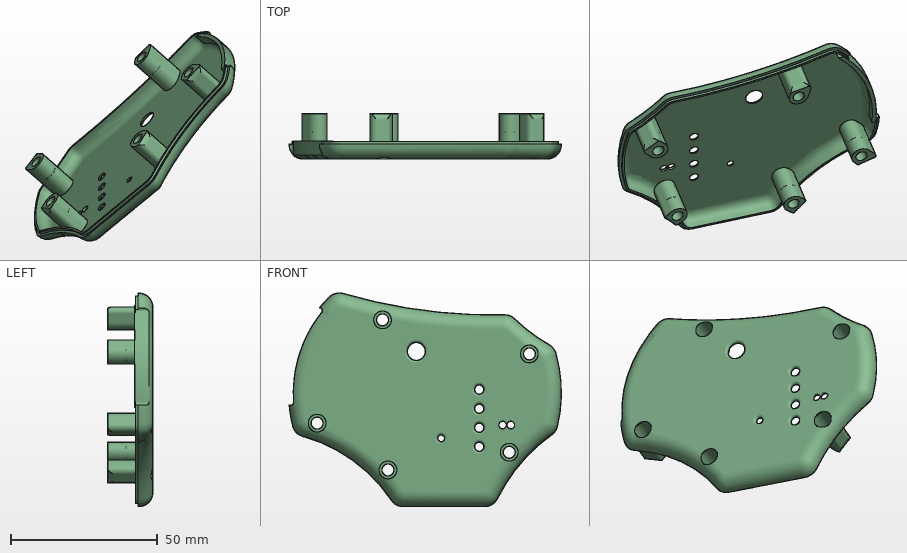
import cadquery as cq
import math

RIM_RADIUS = 5.0
RIM_HEIGHT = 5.1
FLOOR = 1.0
WALL = 1.7
INNER_RADIUS = RIM_RADIUS - WALL
LIP_STEP = 1.0
LIP_TOP = 6.0
FILLET_MARGIN = 0.1

RECESS_DEPTH = 1.6
RECESS_LOW = 34.6
RECESS_HIGH = 67.7
RECESS_CORNER = 0.9
TAB_TOP = 6.2
TAB_THICKNESS = 1.4
TAB_OVERLAP = 0.7
TAB_REACH = 18.55

POST_TOP = 15.5
POST_DIAMETER = 6.9
POST_REACH = 11.1
POST_CORNER = 1.9
POST_ROUND_START = 13.3
SCREW_DIAMETER = 4.0
HEAD_DIAMETER = 6.0
HEAD_DEPTH = 9.3

POSTS = [
    ((9.55, 28.5), 228),
    ((31.8, 63.6), 107),
    ((81.8, 52.0), 49),
    ((74.9, 18.55), 320),
    ((33.7, 12.5), 223),
]

LIGHT_X = 64.7
LIGHT_LOW_Z = 20.4
LIGHT_PITCH = 6.5
LIGHT_COUNT = 4
LIGHT_DIAMETER = 3.1
KNOB_CENTRE = (43.3, 52.9)
KNOB_DIAMETER = 6.0
BUTTON_CENTRE = (51.8, 23.3)
BUTTON_DIAMETER = 2.2
OPENING_ROUND = 0.9

PAIR_CENTRE = (74.1, 27.8)
PAIR_PITCH = 2.8
PAIR_DIAMETER = 2.5
PAIR_ROUND = 0.1


def flat_face_outline(depth):
    """Outline of the flat face, on a plane at the given depth along Y."""
    return (
        cq.Workplane("XZ", origin=(0, depth, 0))
        .moveTo(17.2, 67.8)
        .threePointArc((41.55, 62.4), (73.4, 60.4))
        .threePointArc((79.6, 55.1), (86.1, 50.8))
        .threePointArc((87.7, 38.5), (86.5, 28.6))
        .threePointArc((75.7, 18.7), (66.5, 5.0))
        .lineTo(39.0, 5.0)
        .threePointArc((24.9, 19.7), (6.0, 28.75))
        .threePointArc((6.4, 49.8), (17.2, 67.8))
        .close()
    )


def slab(inset, front, back):
    """Plate between two depths, its outline inset from the outside of the part."""
    outline = flat_face_outline(front).offset2D(RIM_RADIUS - inset, "arc")
    return outline.extrude(front - back)


def cylinder(centre, diameter, front, back):
    """Round bar along Y between two depths."""
    plane = cq.Workplane("XZ", origin=(centre[0], front, centre[1]))
    return plane.circle(diameter / 2).extrude(front - back)


def block(x_range, y_range, z_range):
    """Box given by its limits along each axis."""
    ranges = (x_range, y_range, z_range)
    size = [high - low for low, high in ranges]
    corner = tuple(low for low, _ in ranges)
    return cq.Workplane("XY").box(*size, centered=False).translate(corner)


def make_shell():
    """Hollow tray with a rounded rim and a locating lip."""
    outside = slab(0, 0, RIM_HEIGHT).faces("<Y").edges().fillet(RIM_RADIUS - FILLET_MARGIN)
    lip = slab(LIP_STEP, RIM_HEIGHT / 2, LIP_TOP)
    cavity = slab(WALL, FLOOR, LIP_TOP)
    cavity = cavity.faces("<Y").edges().fillet(INNER_RADIUS - FILLET_MARGIN)
    return outside.union(lip).cut(cavity)


def make_tab():
    """Thin wall behind the recess, standing slightly above the lip."""
    tab = slab(RECESS_DEPTH, RIM_HEIGHT / 2, TAB_TOP)
    tab = tab.cut(slab(RECESS_DEPTH + TAB_THICKNESS, 0, TAB_TOP))
    limits = block(
        (-RIM_RADIUS, TAB_REACH),
        (0, TAB_TOP),
        (RECESS_LOW - TAB_OVERLAP, RECESS_HIGH + TAB_OVERLAP),
    )
    return tab.intersect(limits)


def make_recess():
    """Cutter for the recess, with rounded inner corners at its two ends."""
    limits = block((-RIM_RADIUS, TAB_REACH), (0, TAB_TOP), (RECESS_LOW, RECESS_HIGH))
    recess = limits.cut(slab(RECESS_DEPTH, 0, TAB_TOP))
    for end in ("<Z", ">Z"):
        recess = recess.faces(end).edges(">X").fillet(RECESS_CORNER)
    return recess


def make_post(centre, angle, well, dome):
    """Screw post with a web trimmed to the inside of the wall."""
    post = cylinder(centre, POST_DIAMETER, FLOOR, POST_TOP)
    web = (
        cq.Workplane("XY")
        .box(POST_REACH, POST_TOP - FLOOR, POST_DIAMETER, centered=(False, False, True))
        .rotate((0, 0, 0), (0, 1, 0), -angle)
        .translate((centre[0], FLOOR, centre[1]))
    )
    post = post.union(web).intersect(well)
    section = post.faces(">Y").wires().val().offset2D(-POST_CORNER)[0].offset2D(POST_CORNER)[0]
    rounded = cq.Workplane(cq.Solid.extrudeLinear(section, [], cq.Vector(0, FLOOR - POST_TOP, 0)))
    return rounded.intersect(dome)


def rounded_opening(centre, diameter, rounding):
    """Cutter for a hole through the flat face whose front edge is rounded."""
    radius = diameter / 2
    mid_offset = rounding * (1 - math.cos(math.radians(45)))
    profile = (
        cq.Workplane("XY")
        .lineTo(radius + rounding, 0)
        .threePointArc((radius + mid_offset, mid_offset), (radius, rounding))
        .lineTo(radius, FLOOR)
        .lineTo(0, FLOOR)
        .close()
    )
    return profile.revolve(360, (0, 0), (0, 1)).translate((centre[0], 0, centre[1]))


def add_posts(body):
    well = slab(WALL, FLOOR, POST_TOP)
    dome = slab(WALL, FLOOR, POST_ROUND_START + INNER_RADIUS)
    dome = dome.faces("|Y").edges().fillet(INNER_RADIUS - FILLET_MARGIN)
    for centre, angle in POSTS:
        body = body.union(make_post(centre, angle, well, dome))
    return body


def cut_screw_holes(body):
    for centre, _ in POSTS:
        body = body.cut(cylinder(centre, SCREW_DIAMETER, 0, POST_TOP))
        body = body.cut(cylinder(centre, HEAD_DIAMETER, 0, HEAD_DEPTH))
    return body


def cut_openings(body):
    body = body.cut(rounded_opening(KNOB_CENTRE, KNOB_DIAMETER, OPENING_ROUND))
    body = body.cut(rounded_opening(BUTTON_CENTRE, BUTTON_DIAMETER, OPENING_ROUND))
    for index in range(LIGHT_COUNT):
        centre = (LIGHT_X, LIGHT_LOW_Z + index * LIGHT_PITCH)
        body = body.cut(rounded_opening(centre, LIGHT_DIAMETER, OPENING_ROUND))
    for side in (-1, 1):
        centre = (PAIR_CENTRE[0] + side * PAIR_PITCH / 2, PAIR_CENTRE[1])
        body = body.cut(rounded_opening(centre, PAIR_DIAMETER, PAIR_ROUND))
    return body


result = make_shell().union(make_tab()).cut(make_recess())
result = add_posts(result)
result = cut_screw_holes(result)
result = cut_openings(result)